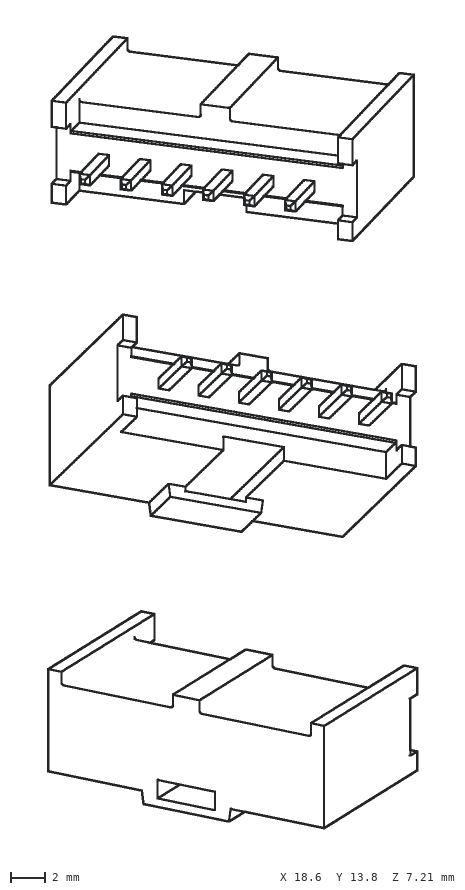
import cadquery as cq

housing_width = 18.59
housing_height = 6.4
end_wall_thickness = 0.9
end_wall_depth = 10.9
shelf_drop = 0.82
key_rib_width = 1.8
root_radius = 0.17

pin_face_depth = 10.08
stepped_face_depth = 8.55
upper_ledge_height = 4.28
lower_ledge_height = 1.71
ledge_bevel = 0.11
upper_lug_height = 1.64
lower_lug_height = 1.19

total_height = 7.21
latch_depth = 2.92
latch_top_width = 5.99
latch_bottom_width = 5.76
window_width = 3.85
window_top = 0.87
window_bottom = -0.28

pin_count = 6
pin_row_length = 12.7
pin_thickness = 0.65
pin_tip_thickness = 0.26
pin_tip_length = 0.33
pin_height = 2.79
overall_depth = 13.8

shelf_height = housing_height - shelf_drop
inner_width = housing_width - 2 * end_wall_thickness
latch_drop = total_height - housing_height


def block(width, front, rear, bottom, top):
    """Box centred on X, reaching from Y = -front to Y = -rear."""
    size = (width, front - rear, top - bottom)
    return cq.Workplane("XY").box(*size, centered=(True, False, False)).translate((0, -front, bottom))


def end_wall():
    """C-shaped end wall whose two lugs stand proud of the pin face."""
    lug_bottom = housing_height - upper_lug_height
    outline = [
        (0, 0),
        (-end_wall_depth, 0),
        (-end_wall_depth, lower_lug_height),
        (-pin_face_depth, lower_lug_height),
        (-pin_face_depth, lug_bottom),
        (-end_wall_depth, lug_bottom),
        (-end_wall_depth, housing_height),
        (0, housing_height),
    ]
    return cq.Workplane("YZ").polyline(outline).close().extrude(end_wall_thickness)


def core():
    """Body between the end walls, with bevelled ledges above and below the pin face."""
    outline = [
        (0, 0),
        (-stepped_face_depth, 0),
        (-stepped_face_depth, lower_ledge_height),
        (ledge_bevel - pin_face_depth, lower_ledge_height),
        (-pin_face_depth, lower_ledge_height + ledge_bevel),
        (-pin_face_depth, upper_ledge_height - ledge_bevel),
        (ledge_bevel - pin_face_depth, upper_ledge_height),
        (-stepped_face_depth, upper_ledge_height),
        (-stepped_face_depth, shelf_height),
        (0, shelf_height),
    ]
    return cq.Workplane("YZ").polyline(outline).close().extrude(inner_width / 2, both=True)


def root_fillet(x, direction):
    """Concave fillet strip where an upright face at `x` meets the top shelf."""
    return (
        cq.Workplane("XZ", origin=(x, 0, shelf_height))
        .lineTo(direction * root_radius, 0)
        .radiusArc((0, root_radius), direction * root_radius)
        .close()
        .extrude(stepped_face_depth)
    )


def latch():
    """Tapered bridge under the rear edge of the housing."""
    outline = [
        (-latch_top_width / 2, 0),
        (latch_top_width / 2, 0),
        (latch_bottom_width / 2, -latch_drop),
        (-latch_bottom_width / 2, -latch_drop),
    ]
    return cq.Workplane("XZ").polyline(outline).close().extrude(latch_depth)


def pin(x):
    """Square pin with a pyramid-shaped tip, starting inside the housing."""
    shaft_end = overall_depth - pin_tip_length
    shaft = (
        cq.Workplane("XZ", origin=(x, -stepped_face_depth, pin_height))
        .rect(pin_thickness, pin_thickness)
        .extrude(shaft_end - stepped_face_depth)
    )
    tip = (
        cq.Workplane("XZ", origin=(x, -shaft_end, pin_height))
        .rect(pin_thickness, pin_thickness)
        .workplane(offset=pin_tip_length)
        .rect(pin_tip_thickness, pin_tip_thickness)
        .loft()
    )
    return shaft.union(tip)


result = core()
result = result.union(block(key_rib_width, stepped_face_depth, 0, 0, housing_height))
for left_side in (-housing_width / 2, inner_width / 2):
    result = result.union(end_wall().translate((left_side, 0, 0)))
for side in (-1, 1):
    result = result.union(root_fillet(side * inner_width / 2, -side))
    result = result.union(root_fillet(side * key_rib_width / 2, side))

result = result.union(latch())
result = result.cut(block(window_width, pin_face_depth, 0, window_bottom, window_top))

pin_pitch = pin_row_length / (pin_count - 1)
for index in range(pin_count):
    result = result.union(pin(index * pin_pitch - pin_row_length / 2))